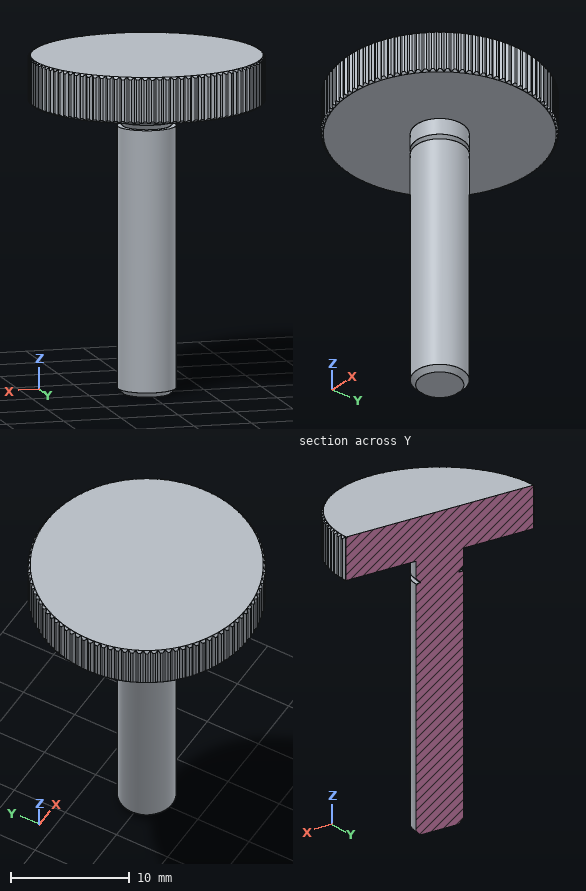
import cadquery as cq
import math

total_length = 29
head_diameter = 20
head_height = 4.0

groove_count = 100
groove_depth = 0.2
groove_width = 2 * groove_depth
rim_chamfer = 0.2

shank_diameter = 5.0
collar_length = 1.57
undercut_depth = 0.45
tip_chamfer = 0.45

head_radius = head_diameter / 2
shank_radius = shank_diameter / 2
head_bottom = total_length - head_height
collar_bottom = head_bottom - collar_length


def polar_point(radius, angle):
    return (radius * math.cos(angle), radius * math.sin(angle))


def make_head():
    """Disc with a toothed rim, cut back to a chamfer at both faces."""
    root_radius = head_radius - groove_depth
    pitch = 2 * math.pi / groove_count
    half_mouth = math.asin(groove_width / 2 / head_radius)

    outline = cq.Workplane("XY").workplane(offset=head_bottom)
    outline = outline.moveTo(*polar_point(head_radius, half_mouth - pitch))
    for index in range(groove_count):
        groove_angle = index * pitch
        outline = (
            outline
            .threePointArc(
                polar_point(head_radius, groove_angle - pitch / 2),
                polar_point(head_radius, groove_angle - half_mouth),
            )
            .lineTo(*polar_point(root_radius, groove_angle))
            .lineTo(*polar_point(head_radius, groove_angle + half_mouth))
        )
    toothed_disc = outline.close().extrude(head_height)

    chamfered_blank = (
        cq.Workplane("XY")
        .workplane(offset=head_bottom)
        .circle(head_radius)
        .extrude(head_height)
        .edges()
        .chamfer(rim_chamfer)
    )
    return toothed_disc.intersect(chamfered_blank)


def make_shank():
    """Round shank with a chamfered tip and a tapered undercut under the collar."""
    undercut_bottom = collar_bottom - undercut_depth
    profile = [
        (0, 0),
        (shank_radius - tip_chamfer, 0),
        (shank_radius, tip_chamfer),
        (shank_radius, undercut_bottom),
        (shank_radius - undercut_depth, undercut_bottom),
        (shank_radius, collar_bottom),
        (shank_radius, head_bottom),
        (0, head_bottom),
    ]
    return cq.Workplane("XZ").polyline(profile).close().revolve(360, (0, 0, 0), (0, 1, 0))


result = make_head().union(make_shank())